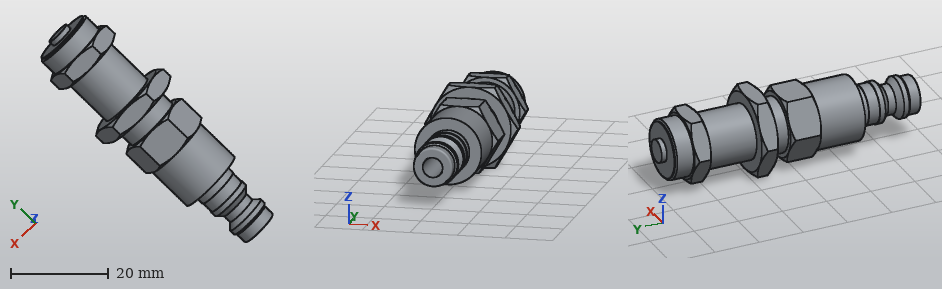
import cadquery as cq
import math


TIP_DIAMETER = 8.2
TIP_ROUNDING = 0.4
COLLAR_DIAMETER = 9.0
NECK_DIAMETER = 6.5
SEAL_LAND_DIAMETER = 8.7
TIP_END = 2.5
LOCK_RING_START = 2.9
LOCK_RING_END = 4.05
NECK_LENGTH = 1.75
SHOULDER_RING_WIDTH = 1.2
SEAL_LAND_LENGTH = 2.5
NECK_TAPER = (COLLAR_DIAMETER - NECK_DIAMETER) / 2
NECK_START = LOCK_RING_END + NECK_TAPER
NECK_END = NECK_START + NECK_LENGTH
SHOULDER_RING_START = NECK_END + NECK_TAPER
SEAL_LAND_START = SHOULDER_RING_START + SHOULDER_RING_WIDTH
SEAL_LAND_END = SEAL_LAND_START + SEAL_LAND_LENGTH

BODY_HEX_WIDTH = 14.05
SLEEVE_DIAMETER = BODY_HEX_WIDTH
SHANK_DIAMETER = 12.0
CAP_DIAMETER = 12.95
PIN_DIAMETER = 5.0
SLEEVE_START = 14.05
FRONT_HEX_START = 24.0
FRONT_HEX_LENGTH = 6.95
FRONT_HEX_END = FRONT_HEX_START + FRONT_HEX_LENGTH
REAR_HEX_START = 48.95
REAR_HEX_LENGTH = 3.7
REAR_HEX_END = REAR_HEX_START + REAR_HEX_LENGTH
CAP_END = 56.6
SHANK_END = 56.85
TOTAL_LENGTH = 58.0

BORE_DIAMETER = 4.2
BORE_DEPTH = SLEEVE_START

NUT_WIDTH = 17.0
NUT_START = 34.45
NUT_LENGTH = REAR_HEX_LENGTH

CHAMFER_ANGLE = 30.0


def revolve_about_y(profile):
    """Turn a profile of the XY plane once around the Y axis."""
    return profile.close().revolve(360, (0, 0, 0), (0, 1, 0))


def cylinder(diameter, start, end):
    """Round bar along Y between two stations."""
    radius = diameter / 2
    profile = cq.Workplane("XY").moveTo(0, start).lineTo(radius, start).lineTo(radius, end).lineTo(0, end)
    return revolve_about_y(profile)


def chamfer_drop(outer_radius, face_radius):
    """Axial length of a conical chamfer between two radii."""
    return (outer_radius - face_radius) * math.tan(math.radians(CHAMFER_ANGLE))


def chamfered_hexagon(width, start, length):
    """Hexagonal prism along Y, flats up and down, with its corners turned off conically at both ends."""
    corner_radius = width / math.sqrt(3)
    face_radius = width / 2
    corner_drop = chamfer_drop(corner_radius, face_radius)
    end = start + length
    prism = cq.Workplane("XZ", origin=(0, start, 0)).polygon(6, 2 * corner_radius).extrude(-length)
    envelope = revolve_about_y(
        cq.Workplane("XY")
        .moveTo(0, start)
        .lineTo(face_radius, start)
        .lineTo(corner_radius, start + corner_drop)
        .lineTo(corner_radius, end - corner_drop)
        .lineTo(face_radius, end)
        .lineTo(0, end)
    )
    return prism.intersect(envelope)


def make_nose():
    """Turned plug nose with rounded tip, lock ring, neck, shoulder ring and recessed seal land."""
    tip_radius = TIP_DIAMETER / 2
    collar_radius = COLLAR_DIAMETER / 2
    neck_radius = NECK_DIAMETER / 2
    land_radius = SEAL_LAND_DIAMETER / 2
    profile = (
        cq.Workplane("XY")
        .lineTo(tip_radius - TIP_ROUNDING, 0)
        .radiusArc((tip_radius, TIP_ROUNDING), -TIP_ROUNDING)
        .lineTo(tip_radius, TIP_END)
        .lineTo(collar_radius, LOCK_RING_START)
        .lineTo(collar_radius, LOCK_RING_END)
        .lineTo(neck_radius, NECK_START)
        .lineTo(neck_radius, NECK_END)
        .lineTo(collar_radius, SHOULDER_RING_START)
        .lineTo(collar_radius, SEAL_LAND_START)
        .lineTo(land_radius, SEAL_LAND_START)
        .lineTo(land_radius, SEAL_LAND_END)
        .lineTo(collar_radius, SEAL_LAND_END)
        .lineTo(collar_radius, SLEEVE_START)
        .lineTo(0, SLEEVE_START)
    )
    return revolve_about_y(profile)


def make_cap():
    """Round cap behind the rear hexagon, with a chamfer that narrows it to the shank."""
    cap_radius = CAP_DIAMETER / 2
    face_radius = SHANK_DIAMETER / 2
    profile = (
        cq.Workplane("XY")
        .moveTo(0, REAR_HEX_END)
        .lineTo(cap_radius, REAR_HEX_END)
        .lineTo(cap_radius, CAP_END - chamfer_drop(cap_radius, face_radius))
        .lineTo(face_radius, CAP_END)
        .lineTo(0, CAP_END)
    )
    return revolve_about_y(profile)


def make_plug():
    """Nose, sleeve, shank, two hexagons, cap and rear pin in one piece, with the blind bore."""
    sleeve = cylinder(SLEEVE_DIAMETER, SLEEVE_START, FRONT_HEX_START)
    front_hex = chamfered_hexagon(BODY_HEX_WIDTH, FRONT_HEX_START, FRONT_HEX_LENGTH)
    shank = cylinder(SHANK_DIAMETER, FRONT_HEX_END, SHANK_END)
    rear_hex = chamfered_hexagon(BODY_HEX_WIDTH, REAR_HEX_START, REAR_HEX_LENGTH)
    cap = make_cap()
    pin = cylinder(PIN_DIAMETER, SHANK_END, TOTAL_LENGTH)
    bore = cylinder(BORE_DIAMETER, 0, BORE_DEPTH)
    plug = make_nose()
    for section in (sleeve, front_hex, shank, rear_hex, cap, pin):
        plug = plug.union(section)
    return plug.cut(bore)


def make_lock_nut():
    """Hexagonal nut whose hole fits the shank."""
    nut = chamfered_hexagon(NUT_WIDTH, NUT_START, NUT_LENGTH)
    return nut.cut(cylinder(SHANK_DIAMETER, NUT_START, NUT_START + NUT_LENGTH))


plug = make_plug()
lock_nut = make_lock_nut()

result = cq.Compound.makeCompound([plug.val(), lock_nut.val()])